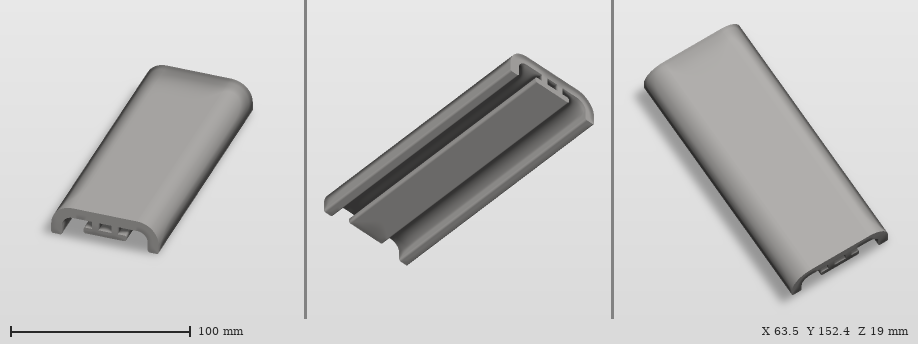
import cadquery as cq

length = 152.4
width = 63.5
height = 19.0

wall = 6.4
outer_radius = 12.6
inner_radius = outer_radius - wall
lip_radius = 1.2

rail_width = 25.3
rail_thickness = 3.8
rail_bottom = 4.1
rail_radius = 1.2
web_thickness = 3.8
web_gap = 7.6

ceiling = height - wall
rail_top = rail_bottom + rail_thickness


def bar(bar_width, bottom, top, center_x=0):
    """Full-length rectangular bar between two heights."""
    return (
        cq.Workplane("XY")
        .box(bar_width, length, top - bottom, centered=(True, True, False))
        .translate((center_x, 0, bottom))
    )


def shell():
    """Channel, open downward, with rounded shoulders and lip edges."""
    outside = bar(width, 0, height).edges("|Y and >Z").fillet(outer_radius)
    inside = bar(width - 2 * wall, 0, ceiling).edges("|Y and >Z").fillet(inner_radius)
    return outside.cut(inside).edges("|Y and <Z").fillet(lip_radius)


def clip_rail():
    """Flat rail with rounded edges, joined to the ceiling by two webs."""
    rail = bar(rail_width, rail_bottom, rail_top).edges("|Y").fillet(rail_radius)
    web_offset = (web_gap + web_thickness) / 2
    for side in (-1, 1):
        rail = rail.union(bar(web_thickness, rail_top, ceiling, side * web_offset))
    return rail


result = shell().union(clip_rail())